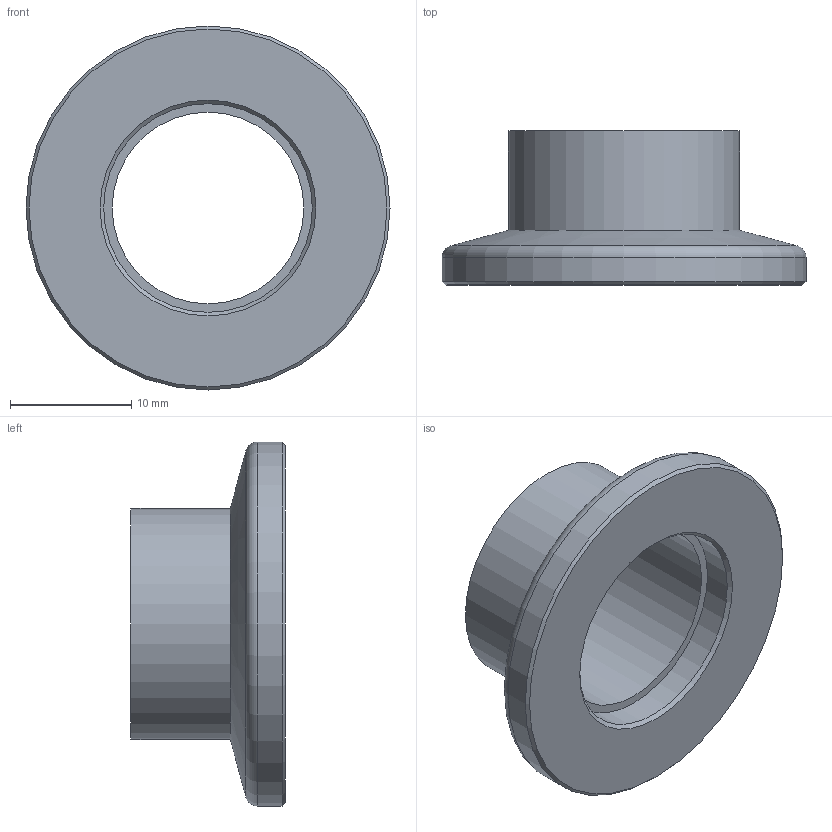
import cadquery as cq
import math

total_length = 12.7
flange_diameter = 30.0
stub_diameter = 19.05
bore_diameter = 15.8

cone_angle = 15.0
cone_end = 4.5
rim_round = 1.0
rim_chamfer = 0.25

recess_diameter = 17.2
recess_depth = 2.6
recess_chamfer = 0.3

flange_radius = flange_diameter / 2
stub_radius = stub_diameter / 2
bore_radius = bore_diameter / 2
recess_radius = recess_diameter / 2


def turned_blank():
    """Stub and flange with a rounded rim, revolved about Y."""
    angle = math.radians(cone_angle)
    cone_rim_y = cone_end - (flange_radius - stub_radius) * math.tan(angle)

    half_sweep = (math.pi / 2 - angle) / 2
    tangent_length = rim_round * math.tan(half_sweep)
    round_start = (flange_radius, cone_rim_y - tangent_length)
    round_end = (
        flange_radius - tangent_length * math.cos(angle),
        cone_rim_y + tangent_length * math.sin(angle),
    )
    round_centre = (flange_radius - rim_round, round_start[1])
    round_middle = (
        round_centre[0] + rim_round * math.cos(half_sweep),
        round_centre[1] + rim_round * math.sin(half_sweep),
    )

    return (
        cq.Workplane("ZY")
        .moveTo(0, 0)
        .lineTo(flange_radius - rim_chamfer, 0)
        .lineTo(flange_radius, rim_chamfer)
        .lineTo(*round_start)
        .threePointArc(round_middle, round_end)
        .lineTo(stub_radius, cone_end)
        .lineTo(stub_radius, total_length)
        .lineTo(0, total_length)
        .close()
        .revolve(360, (0, 0), (0, 1))
    )


def bore_cutter():
    """Through bore with the chamfered recess in the sealing face."""
    return (
        cq.Workplane("ZY")
        .moveTo(0, 0)
        .lineTo(recess_radius + recess_chamfer, 0)
        .lineTo(recess_radius, recess_chamfer)
        .lineTo(recess_radius, recess_depth)
        .lineTo(bore_radius, recess_depth)
        .lineTo(bore_radius, total_length)
        .lineTo(0, total_length)
        .close()
        .revolve(360, (0, 0), (0, 1))
    )


result = turned_blank().cut(bore_cutter())